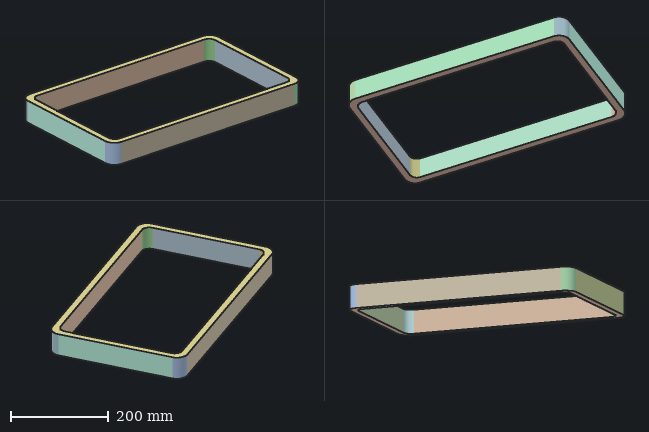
import cadquery as cq

width = 300.0
length = 500.0
height = 50.0

wall = 16.0
outer_radius = 24.0
inner_radius = 16.0


def rounded_block(size_x, size_y, corner_radius):
    """Full-height block with rounded vertical edges, centred on the origin."""
    return cq.Workplane("XY").box(size_x, size_y, height).edges("|Z").fillet(corner_radius)


outer_block = rounded_block(width, length, outer_radius)
opening = rounded_block(width - 2 * wall, length - 2 * wall, inner_radius)

result = outer_block.cut(opening)